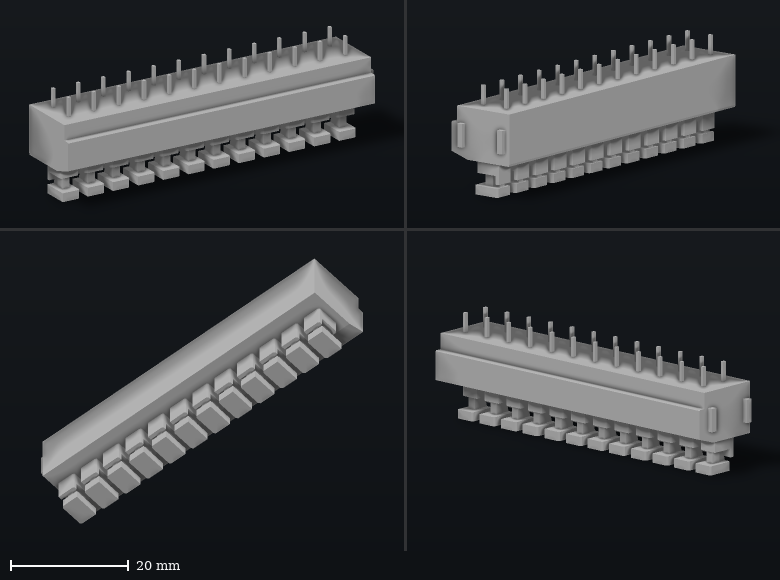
import cadquery as cq


POLES = 12
PITCH = 5.0

HOUSING_WIDTH = 12.6
HOUSING_LENGTH = 61.0
HOUSING_HEIGHT = 9.1
STEP_WIDTH = 1.2
STEP_DEPTH = 2.8
SLOPE_WIDTH = 3.5
SLOPE_HEIGHT = 1.1
BEVEL_WIDTH = 0.1
BEVEL_HEIGHT = 0.4
SHELF_BEVEL = 0.15

LUG_CENTERS_X = (1.3, 10.0)
LUG_WIDTH = 1.05
LUG_LENGTH = 1.0
LUG_HEIGHT = 4.1
LUG_TOP = HOUSING_HEIGHT - STEP_DEPTH

PIN_CENTERS_X = (3.2, 8.2)
PIN_SIZE_X = 0.65
PIN_SIZE_Y = 0.5
PIN_HEIGHT = 3.5
PIN_OFFSET = 2.8

GUIDE_X = 3.05
GUIDE_WIDTH = 4.65
GUIDE_LENGTH = 3.4
GUIDE_DROP = 2.25
GUIDE_OFFSET = 1.6
SKIRT_THICKNESS = 0.75
SKIRT_DROP = 3.75
GUIDE_BEVEL_X = 0.2
GUIDE_BEVEL_Y = 0.33

LEVER_OFFSET = 3.1
LEVER_DROP = 6.1
HEAD_X = 3.6
HEAD_WIDTH = 5.0
HEAD_LENGTH = 3.4
HEAD_HEIGHT = 1.6
HEAD_BEVEL = 0.3
HEAD_TOP_DROP = LEVER_DROP - HEAD_HEIGHT
WEB_TOP_X = 4.3
WEB_BOTTOM_X = 3.7
WEB_THICKNESS = 1.0
POST_X = 5.3
POST_WIDTH = 1.65
POST_THICKNESS = 1.4


def box(x, y, z, size_x, size_y, size_z):
    """Box with its lowest corner at (x, y, z)."""
    return cq.Workplane("XY").box(size_x, size_y, size_z, centered=False).translate((x, y, z))


def make_housing():
    profile = [
        (BEVEL_WIDTH, 0),
        (HOUSING_WIDTH - SLOPE_WIDTH, 0),
        (HOUSING_WIDTH, SLOPE_HEIGHT),
        (HOUSING_WIDTH, HOUSING_HEIGHT - STEP_DEPTH - SHELF_BEVEL),
        (HOUSING_WIDTH - SHELF_BEVEL, HOUSING_HEIGHT - STEP_DEPTH),
        (HOUSING_WIDTH - STEP_WIDTH, HOUSING_HEIGHT - STEP_DEPTH),
        (HOUSING_WIDTH - STEP_WIDTH, HOUSING_HEIGHT),
        (0, HOUSING_HEIGHT),
        (0, BEVEL_HEIGHT),
    ]
    return cq.Workplane("XZ").polyline(profile).close().extrude(-HOUSING_LENGTH)


def make_lug(center_x):
    return box(
        center_x - LUG_WIDTH / 2, HOUSING_LENGTH, LUG_TOP - LUG_HEIGHT,
        LUG_WIDTH, LUG_LENGTH, LUG_HEIGHT,
    )


def make_pin(center_x, pole_y):
    return box(
        center_x - PIN_SIZE_X / 2, pole_y + PIN_OFFSET - PIN_SIZE_Y / 2, HOUSING_HEIGHT,
        PIN_SIZE_X, PIN_SIZE_Y, PIN_HEIGHT,
    )


def make_guide(pole_y):
    """Block and skirt in one, with the two -Y upright edges bevelled."""
    near_y = pole_y + GUIDE_OFFSET
    far_y = near_y + GUIDE_LENGTH
    end_x = GUIDE_X + GUIDE_WIDTH
    plan = [
        (GUIDE_X + GUIDE_BEVEL_X, near_y),
        (end_x - GUIDE_BEVEL_X, near_y),
        (end_x, near_y + GUIDE_BEVEL_Y),
        (end_x, far_y),
        (GUIDE_X, far_y),
        (GUIDE_X, near_y + GUIDE_BEVEL_Y),
    ]
    guide = cq.Workplane("XY").polyline(plan).close().extrude(-SKIRT_DROP)
    relief = box(
        GUIDE_X + SKIRT_THICKNESS, near_y, -SKIRT_DROP,
        GUIDE_WIDTH - SKIRT_THICKNESS, GUIDE_LENGTH, SKIRT_DROP - GUIDE_DROP,
    )
    return guide.cut(relief)


def make_stem(center_y):
    """Narrow web with a leaning face, joined to a thicker post."""
    web_profile = [
        (WEB_TOP_X, -GUIDE_DROP),
        (POST_X, -GUIDE_DROP),
        (POST_X, -HEAD_TOP_DROP),
        (WEB_BOTTOM_X, -HEAD_TOP_DROP),
    ]
    web = (
        cq.Workplane("XZ", origin=(0, center_y, 0))
        .polyline(web_profile).close()
        .extrude(WEB_THICKNESS / 2, both=True)
    )
    post = box(
        POST_X, center_y - POST_THICKNESS / 2, -HEAD_TOP_DROP,
        POST_WIDTH, POST_THICKNESS, HEAD_TOP_DROP - GUIDE_DROP,
    )
    return web.union(post)


def make_head(center_y):
    head = box(
        HEAD_X, center_y - HEAD_LENGTH / 2, -LEVER_DROP,
        HEAD_WIDTH, HEAD_LENGTH, HEAD_HEIGHT,
    )
    return head.faces(">Y").edges("|Z").chamfer(HEAD_BEVEL)


result = make_housing()

for lug_x in LUG_CENTERS_X:
    result = result.union(make_lug(lug_x))

for pole in range(POLES):
    pole_start = pole * PITCH
    for pin_x in PIN_CENTERS_X:
        result = result.union(make_pin(pin_x, pole_start))
    lever_y = pole_start + LEVER_OFFSET
    result = result.union(make_guide(pole_start))
    result = result.union(make_stem(lever_y))
    result = result.union(make_head(lever_y))